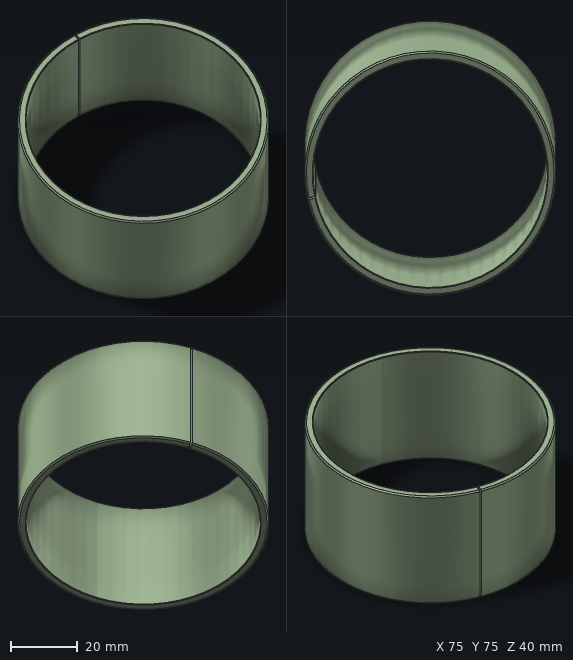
import cadquery as cq

outer_diameter = 75.0
wall = 2.5
height = 40.0
slit_width = 0.5
outer_chamfer_radial = 0.5
outer_chamfer_axial = 0.4
inner_chamfer = 0.2

outer_radius = outer_diameter / 2
inner_radius = outer_radius - wall
half_height = height / 2

wall_section = (
    cq.Workplane("XZ")
    .moveTo(inner_radius + inner_chamfer, -half_height)
    .lineTo(outer_radius - outer_chamfer_radial, -half_height)
    .lineTo(outer_radius, -half_height + outer_chamfer_axial)
    .lineTo(outer_radius, half_height - outer_chamfer_axial)
    .lineTo(outer_radius - outer_chamfer_radial, half_height)
    .lineTo(inner_radius + inner_chamfer, half_height)
    .lineTo(inner_radius, half_height - inner_chamfer)
    .lineTo(inner_radius, -half_height + inner_chamfer)
    .close()
)
ring = wall_section.revolve(360, (0, 0, 0), (0, 1, 0))

slit = (
    cq.Workplane("XY")
    .box(outer_radius, slit_width, height)
    .translate((-outer_radius, slit_width / 2, 0))
)

result = ring.cut(slit)